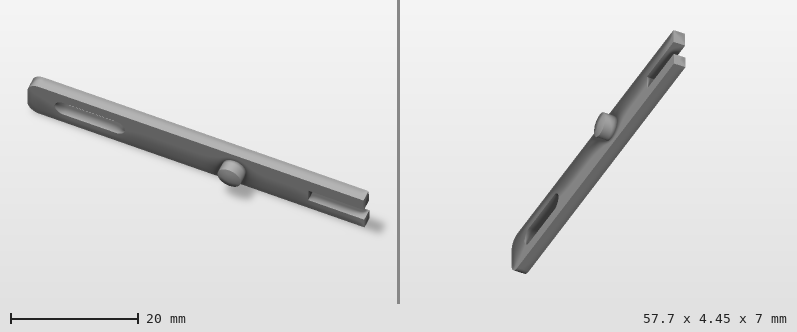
import cadquery as cq

length = 57.7
height = 7.0
thickness = 2.0
corner_radius = 2.0
end_slant = 0.2

slot_length = 12.0
slot_width = 3.0
slot_start = 4.7

notch_bottom = 2.0
notch_width = 2.5
notch_depth = 9.65

pin_x = 35.4
pin_radius = 2.0
pin_length = 2.0
dome_height = 0.45

mid_height = height / 2


def make_plate():
    """Flat bar with a rounded left end; front face at Y = 0."""
    outline = [(0, 0), (length, 0), (length - end_slant, height), (0, height)]
    plate = cq.Workplane("XZ").polyline(outline).close().extrude(-thickness)
    return plate.edges("|Y and <X").fillet(corner_radius)


def make_slot():
    """Obround cutter through the plate."""
    return (
        cq.Workplane("XZ")
        .center(slot_start + slot_length / 2, mid_height)
        .slot2D(slot_length, slot_width)
        .extrude(-thickness)
    )


def make_notch():
    """Rectangular cutter open at the right end."""
    return (
        cq.Workplane("XZ")
        .moveTo(length - notch_depth, notch_bottom)
        .rect(notch_depth, notch_width, centered=False)
        .extrude(-thickness)
    )


def make_pin():
    """Cylinder with a shallow spherical cap, pointing toward -Y."""
    sphere_radius = (pin_radius**2 + dome_height**2) / (2 * dome_height)
    tip = pin_length + dome_height
    cylinder = cq.Workplane("XZ").center(pin_x, mid_height).circle(pin_radius).extrude(tip)
    cap = cq.Workplane("XY").sphere(sphere_radius).translate((pin_x, sphere_radius - tip, mid_height))
    return cylinder.intersect(cap)


result = make_plate().cut(make_slot()).cut(make_notch()).union(make_pin())